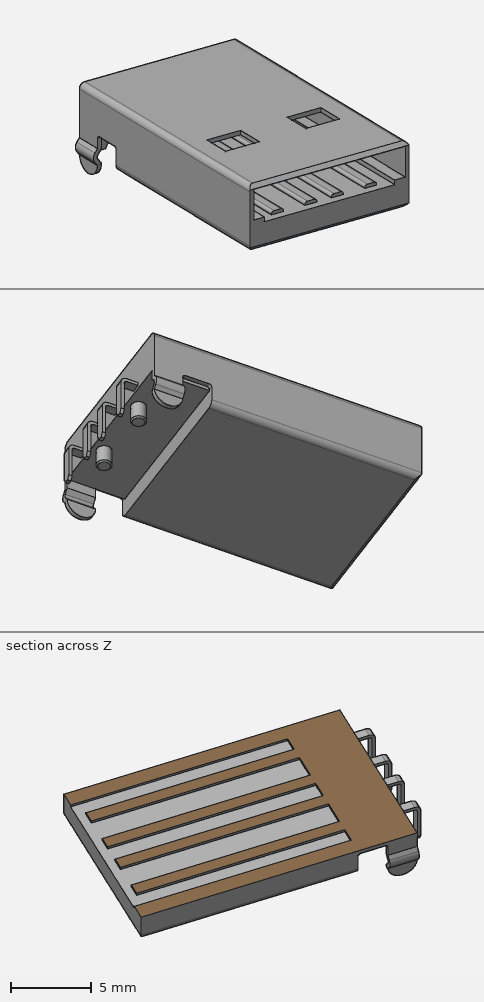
import cadquery as cq
import math


shell_length = 18.73
shell_width = 12.0
shell_height = 4.5
wall = 0.3
edge_radius = 0.4
mouth_chamfer = 0.28

step_length = 4.03
block_bottom = 1.4
notch_top = 1.65
notch_corner_radius = 0.2

cavity_start = step_length
tongue_top = 1.8
rail_height = 0.32
rail_inner_y = 4.9

inner_contact_y = 1.0
outer_contact_y = 3.5
contact_positions = [-outer_contact_y, -inner_contact_y, inner_contact_y, outer_contact_y]
contact_width = 0.9
contact_height = 0.24
contact_edge_radius = 0.2
contact_end_gap = 0.6
embed_depth = 0.3
pin_width = 0.62
pin_thickness = 0.24
pin_top = 1.9
pin_bottom = -1.02
pin_reach = 1.2
pin_bend_radius = 0.42
pin_tip_height = 0.32
pin_tip_inset = 0.15

window_start = 11.52
window_length = 2.05
window_inner_y = 1.75
window_width = 2.53

tab_length = 2.0
width_over_tabs = 12.62
tab_bulge = (width_over_tabs - shell_width) / 2
tab_bulge_center = 0.2
tab_bend_half_height = 0.58
tab_slope_angle = math.radians(38)
tab_tip = -1.3

peg_diameter = 1.0
peg_x = 0.82
peg_y = 2.31
peg_bottom = 0.12
peg_chamfer = 0.1

half_width = shell_width / 2
inner_half_width = half_width - wall


def box(x_range, y_range, z_range):
    """Box spanning three (low, high) ranges."""
    size = [high - low for low, high in (x_range, y_range, z_range)]
    corner = (x_range[0], y_range[0], z_range[0])
    return cq.Workplane("XY").box(*size, centered=False).translate(corner)


def make_body():
    """Outer shell block with the rear underside cut away."""
    body = box((0, shell_length), (-half_width, half_width), (0, shell_height))
    body = body.edges("|X").fillet(edge_radius)
    mouth_outline = box((0, shell_length), (-half_width, half_width), (0, shell_height))
    body = body.intersect(mouth_outline.edges(">X and |Y").chamfer(mouth_chamfer))

    body = body.cut(box((0, step_length), (-half_width, half_width), (0, block_bottom)))
    notch = box((tab_length, step_length), (-half_width, half_width), (0, notch_top))
    notch = notch.edges(">Z and |Y").fillet(notch_corner_radius)
    block = box((0, step_length), (-inner_half_width, inner_half_width), (block_bottom, shell_height))
    return body.cut(notch.cut(block))


def make_cavity():
    """Space between the tongue and the shell, with a rail left along each side."""
    x_range = (cavity_start, shell_length)
    rail_top = tongue_top + rail_height
    upper = box(x_range, (-inner_half_width, inner_half_width), (rail_top, shell_height - wall))
    return upper.union(box(x_range, (-rail_inner_y, rail_inner_y), (tongue_top, rail_top)))


def make_window(side):
    """Cutter through the top wall on one side of the centreline."""
    window_center_y = side * (window_inner_y + window_width / 2)
    return box(
        (window_start, window_start + window_length),
        (window_center_y - window_width / 2, window_center_y + window_width / 2),
        (shell_height - 2 * wall, shell_height + wall),
    )


def make_contact(y):
    """Flat contact strip with rounded long edges, sunk into the tongue."""
    strip = box(
        (cavity_start - embed_depth, shell_length - contact_end_gap),
        (y - contact_width / 2, y + contact_width / 2),
        (tongue_top - embed_depth, tongue_top + contact_height),
    )
    return strip.edges("|X and >Z").fillet(contact_edge_radius)


def make_pin(y):
    """Right-angle solder pin with a tapered tip, rooted in the insulator block."""
    pin = (
        cq.Workplane("XZ", origin=(0, y + pin_width / 2, 0))
        .moveTo(embed_depth, pin_top)
        .lineTo(-pin_reach + pin_bend_radius, pin_top)
        .radiusArc((-pin_reach, pin_top - pin_bend_radius), -pin_bend_radius)
        .lineTo(-pin_reach, pin_bottom)
        .lineTo(-pin_reach + pin_thickness, pin_bottom)
        .lineTo(-pin_reach + pin_thickness, pin_top - pin_bend_radius)
        .radiusArc((-pin_reach + pin_bend_radius, pin_top - pin_thickness), pin_bend_radius - pin_thickness)
        .lineTo(embed_depth, pin_top - pin_thickness)
        .close()
        .extrude(pin_width)
    )
    tip_half_width = pin_width / 2 - pin_tip_inset
    taper = (
        cq.Workplane("YZ", origin=(-pin_reach, y, 0))
        .moveTo(-pin_width / 2, pin_top)
        .lineTo(-pin_width / 2, pin_bottom + pin_tip_height)
        .lineTo(-tip_half_width, pin_bottom)
        .lineTo(tip_half_width, pin_bottom)
        .lineTo(pin_width / 2, pin_bottom + pin_tip_height)
        .lineTo(pin_width / 2, pin_top)
        .close()
        .extrude(pin_reach + embed_depth)
    )
    return pin.intersect(taper)


def make_tab():
    """Board-lock tab on the +Y side: an outward bulge above a rounded tip."""
    sine = math.sin(tab_slope_angle)
    cosine = math.cos(tab_slope_angle)
    tangent = math.tan(tab_slope_angle)
    outer_radius = (tab_bend_half_height * tangent - tab_bulge) * cosine / (1 - cosine)
    inner_radius = outer_radius - wall
    arc_center_y = half_width + tab_bulge - outer_radius
    inner_bend_half_height = tab_bend_half_height - wall * math.tan(tab_slope_angle / 2)

    def arc_point(radius, direction):
        return (
            arc_center_y + radius * cosine,
            tab_bulge_center + direction * radius * sine,
        )

    profile = (
        cq.Workplane("YZ")
        .moveTo(half_width, notch_top)
        .lineTo(half_width, tab_bulge_center + tab_bend_half_height)
        .lineTo(*arc_point(outer_radius, 1))
        .threePointArc((arc_center_y + outer_radius, tab_bulge_center), arc_point(outer_radius, -1))
        .lineTo(half_width, tab_bulge_center - tab_bend_half_height)
        .lineTo(half_width, tab_tip)
        .lineTo(inner_half_width, tab_tip)
        .lineTo(inner_half_width, tab_bulge_center - inner_bend_half_height)
        .lineTo(*arc_point(inner_radius, -1))
        .threePointArc((arc_center_y + inner_radius, tab_bulge_center), arc_point(inner_radius, 1))
        .lineTo(inner_half_width, tab_bulge_center + inner_bend_half_height)
        .lineTo(inner_half_width, notch_top)
        .close()
        .extrude(tab_length)
    )
    tip_radius = tab_length / 2
    tip_center_z = tab_tip + tip_radius
    side_outline = (
        cq.Workplane("XZ")
        .moveTo(0, notch_top)
        .lineTo(0, tip_center_z)
        .threePointArc((tip_radius, tab_tip), (tab_length, tip_center_z))
        .lineTo(tab_length, notch_top)
        .close()
        .extrude(-shell_width)
    )
    return profile.intersect(side_outline)


def make_peg(y):
    """Round locating peg hanging from the insulator block."""
    peg = cq.Workplane("XY", origin=(peg_x, y, peg_bottom)).circle(peg_diameter / 2)
    return peg.extrude(block_bottom - peg_bottom).faces("<Z").chamfer(peg_chamfer)


result = make_body().cut(make_cavity())

for side in (-1, 1):
    result = result.cut(make_window(side))
    result = result.union(make_peg(side * peg_y))

for contact_y in contact_positions:
    result = result.union(make_contact(contact_y))
    result = result.union(make_pin(contact_y))

tab = make_tab()
result = result.union(tab).union(tab.mirror("XZ"))